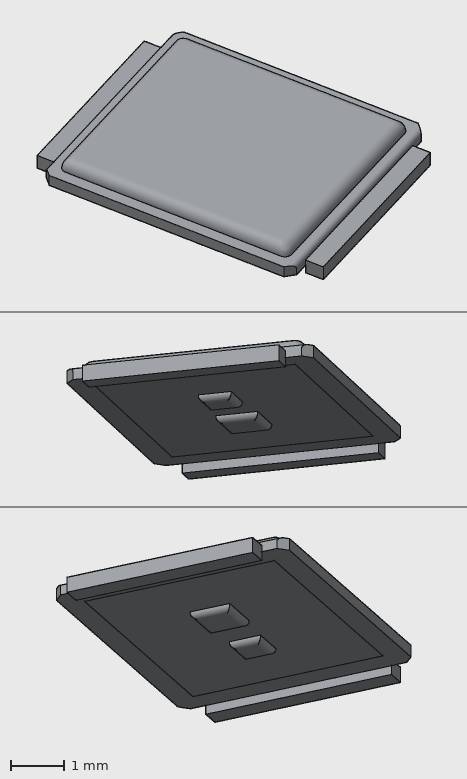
import cadquery as cq

overall_length = 6.3
overall_width = 4.9
overall_height = 0.65

terminal_length = 0.39
terminal_width = 3.905
terminal_height = 0.315

flange_length = overall_length - 2 * terminal_length
flange_bottom = 0.18
flange_top = 0.43
flange_thickness = flange_top - flange_bottom
flange_corner_chamfer = 0.175
flange_edge_radius = 0.1

lid_margin = 0.24
lid_length = flange_length - 2 * lid_margin
lid_width = overall_width - 2 * lid_margin
lid_height = overall_height - flange_top
lid_corner_radius = 0.15
lid_edge_radius = 0.215

die_length = lid_length - 2 * lid_edge_radius
die_width = lid_width - 2 * lid_edge_radius
die_height = flange_thickness

pads = [(-0.8, 0.655), (0.6, 0.83)]
pad_bottom = 0.045
pad_height = flange_bottom - pad_bottom
pad_edge_radius = 0.12


def block(length, width, height, bottom, center_x=0):
    """Box centred on Y = 0 and standing on the level `bottom`."""
    return (
        cq.Workplane("XY")
        .box(length, width, height, centered=(True, True, False))
        .translate((center_x, 0, bottom))
    )


def make_flange():
    flange = block(flange_length, overall_width, flange_thickness, flange_bottom)
    flange = flange.edges("|Z").chamfer(flange_corner_chamfer)
    return flange.faces("<X or >X").edges(">Z").fillet(flange_edge_radius)


def make_lid():
    lid = block(lid_length, lid_width, lid_height, flange_top)
    lid = lid.edges("|Z").fillet(lid_corner_radius)
    return lid.faces(">Z").edges().fillet(lid_edge_radius)


def make_die_block():
    return block(die_length, die_width, die_height, flange_bottom)


def make_can():
    """Flange, lid and terminals in one piece, with the recess for the die."""
    can = make_flange().union(make_lid())
    terminal_x = (overall_length - terminal_length) / 2
    for side in (-1, 1):
        can = can.union(block(terminal_length, terminal_width, terminal_height, 0, side * terminal_x))
    return can.cut(make_die_block())


def make_pad(center_x, size):
    pad = block(size, size, pad_height, pad_bottom, center_x)
    return pad.faces("<Z").edges().fillet(pad_edge_radius)


def make_die():
    """Die with its contact pads."""
    die = make_die_block()
    for center_x, size in pads:
        die = die.union(make_pad(center_x, size))
    return die


can = make_can()
die = make_die()

result = cq.Compound.makeCompound([can.solids().val(), die.solids().val()])